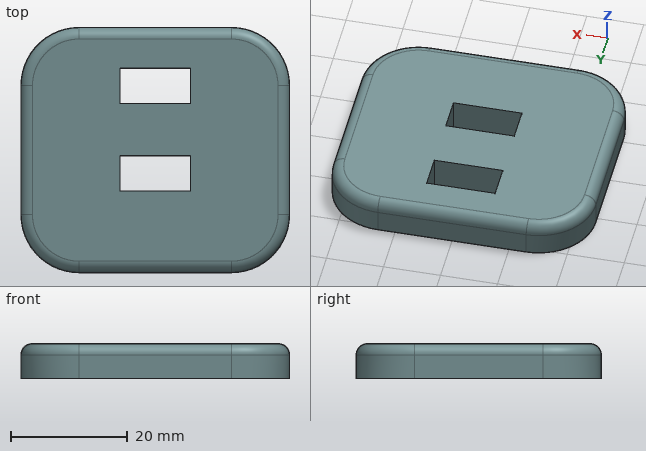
import cadquery as cq

plate_length = 46.0
plate_width = 42.0
plate_thickness = 6.0
corner_radius = 10.0
top_edge_radius = 2.0

slot_length = 12.0
slot_width = 6.0
slot_centers_y = (11.0, -4.0)


def make_plate():
    """Rounded rectangular plate with a rounded top rim, resting on Z = 0."""
    plate = cq.Workplane("XY").box(
        plate_length, plate_width, plate_thickness, centered=(True, True, False)
    )
    return plate.edges("|Z").fillet(corner_radius).faces(">Z").edges().fillet(top_edge_radius)


def cut_slots(plate):
    """Cut the rectangular slots through the full thickness."""
    centers = [(0, y) for y in slot_centers_y]
    slots = (
        cq.Workplane("XY")
        .pushPoints(centers)
        .rect(slot_length, slot_width)
        .extrude(plate_thickness)
    )
    return plate.cut(slots)


result = cut_slots(make_plate())